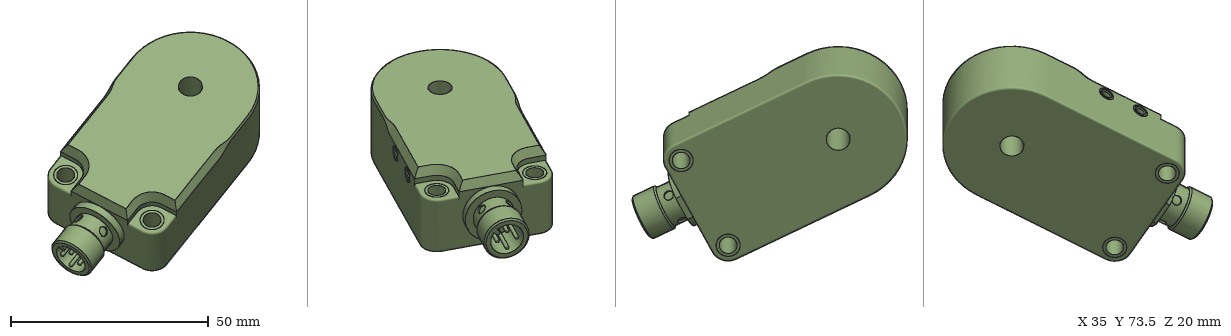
import cadquery as cq
import math

WIDTH = 35.0
HALF_WIDTH = WIDTH / 2
HEIGHT = 20.0
STRAIGHT_LENGTH = 42.5
CORNER_RADIUS = 4.5
BOTTOM_FILLET = 0.6
SENSING_HOLE_DIAMETER = 6.0

BEVEL_ANGLE = 30
BEVEL_SLOPE = math.tan(math.radians(BEVEL_ANGLE))
SHALLOW_BEVEL_HEIGHT = 0.65
DEEP_BEVEL_HEIGHT = 2.4
BEVEL_STEP_START_Y = -7.5
BEVEL_STEP_LENGTH = 6.2

POCKET_DEPTH = 4.0
POCKET_FILLET = 0.6
POCKET_FLOOR_Z = HEIGHT - POCKET_DEPTH
MOUNT_X = HALF_WIDTH - CORNER_RADIUS
MOUNT_Y = CORNER_RADIUS - STRAIGHT_LENGTH
SLEEVE_BORE = 4.5
SLEEVE_DIAMETER = 6.0
SLEEVE_SEAT_DIAMETER = 6.1

ADJUSTER_Y = (-17.5, -27.5)
ADJUSTER_Z = 14.9
ADJUSTER_HOLE_DIAMETER = 2.4
ADJUSTER_HOLE_DEPTH = 2.95
ADJUSTER_COUNTERSINK = 0.3
COUNTERSINK_TAPER = 45
RING_INNER_DIAMETER = 4.0
RING_OUTER_DIAMETER = 4.05
RING_DEPTH = 0.2

CONNECTOR_Z = HEIGHT / 2
FLANGE_DIAMETER = 15.0
FLANGE_LENGTH = 2.05
FLANGE_FLAT_DROP = 6.75
NECK_DIAMETER = 10.8
NECK_CORE_DIAMETER = 9.8
NECK_END = 6.55
BARREL_DIAMETER = 12.0
BARREL_CHAMFER = 0.45
CONNECTOR_LENGTH = 13.3
NECK_HOLE_DIAMETER = 2.5
NECK_HOLE_PLACE = 3.8
NECK_HOLE_ANGLES = (45, 135, 225, 315)
BORE_DIAMETER = 8.7
BORE_DEPTH = 8.8
KEY_WIDTH = 1.2
KEY_CENTRE_RADIUS = 3.45
KEY_ANGLE = 135
PIN_COUNT = 4
PIN_DIAMETER = 1.0
PIN_CIRCLE_RADIUS = 2.6
PIN_TIP_FILLET = 0.2
PIN_END = 13.5

CLEARANCE = 3.7


def housing_outline(z):
    """Closed outline of the housing at height z."""
    return (
        cq.Workplane("XY", origin=(0, 0, z))
        .moveTo(HALF_WIDTH, 0)
        .threePointArc((0, HALF_WIDTH), (-HALF_WIDTH, 0))
        .lineTo(-HALF_WIDTH, MOUNT_Y)
        .radiusArc((-MOUNT_X, -STRAIGHT_LENGTH), -CORNER_RADIUS)
        .lineTo(MOUNT_X, -STRAIGHT_LENGTH)
        .radiusArc((HALF_WIDTH, MOUNT_Y), -CORNER_RADIUS)
        .close()
    )


def slab():
    """Housing block with the shallow bevel above and a rounded bottom edge."""
    shallow_z = HEIGHT - SHALLOW_BEVEL_HEIGHT
    body = housing_outline(0).extrude(shallow_z).faces("<Z").edges().fillet(BOTTOM_FILLET)
    return body.union(housing_outline(shallow_z).extrude(SHALLOW_BEVEL_HEIGHT, taper=BEVEL_ANGLE))


def side_bevel():
    """Cutter for the deep bevel of the -X side, rising to the shallow one in an S of two arcs."""
    rise = DEEP_BEVEL_HEIGHT - SHALLOW_BEVEL_HEIGHT
    high_z = HEIGHT - SHALLOW_BEVEL_HEIGHT
    deep_z = HEIGHT - DEEP_BEVEL_HEIGHT
    above_z = HEIGHT + CLEARANCE
    end_y = -STRAIGHT_LENGTH - CLEARANCE
    half_length = BEVEL_STEP_LENGTH / 2
    middle_y = BEVEL_STEP_START_Y - half_length
    deep_start_y = BEVEL_STEP_START_Y - BEVEL_STEP_LENGTH
    arc_radius = (half_length**2 + (rise / 2) ** 2) / rise
    profile = (
        cq.Workplane("YZ", origin=(-HALF_WIDTH, 0, 0))
        .moveTo(BEVEL_STEP_START_Y, above_z)
        .lineTo(BEVEL_STEP_START_Y, high_z)
        .radiusArc((middle_y, high_z - rise / 2), -arc_radius)
        .radiusArc((deep_start_y, deep_z), arc_radius)
        .lineTo(end_y, deep_z)
        .lineTo(end_y, above_z)
        .close()
    )
    along_slope = cq.Vector(CLEARANCE * BEVEL_SLOPE, 0, CLEARANCE)
    return cq.Workplane(cq.Solid.extrudeLinear(profile.val(), [], along_slope))


def end_bevel():
    """Cutter for the deep bevel along the connector end."""
    deep_z = HEIGHT - DEEP_BEVEL_HEIGHT
    return (
        cq.Workplane("YZ")
        .moveTo(-STRAIGHT_LENGTH, deep_z)
        .lineTo(-STRAIGHT_LENGTH + DEEP_BEVEL_HEIGHT * BEVEL_SLOPE, HEIGHT)
        .lineTo(-STRAIGHT_LENGTH, HEIGHT)
        .close()
        .extrude(HALF_WIDTH, both=True)
    )


def corner_pocket():
    """Cutter for the pocket over the -X mounting hole, flaring in the deep bevel."""
    inner_x = -MOUNT_X + CORNER_RADIUS
    inner_y = MOUNT_Y + CORNER_RADIUS
    outer_x = -HALF_WIDTH - CLEARANCE
    outer_y = -STRAIGHT_LENGTH - CLEARANCE

    def outline(z):
        return (
            cq.Workplane("XY", origin=(0, 0, z))
            .moveTo(outer_x, outer_y)
            .lineTo(inner_x, outer_y)
            .lineTo(inner_x, MOUNT_Y)
            .radiusArc((-MOUNT_X, inner_y), -CORNER_RADIUS)
            .lineTo(outer_x, inner_y)
            .close()
        )

    wall = outline(POCKET_FLOOR_Z).extrude(POCKET_DEPTH)
    flare = outline(HEIGHT - DEEP_BEVEL_HEIGHT).extrude(DEEP_BEVEL_HEIGHT, taper=-BEVEL_ANGLE)
    return wall.union(flare)


def round_pocket_rims(body):
    """Round the outer edge of both pocket floors; each fillet runs on from the corner arc."""
    diagonal = CORNER_RADIUS / math.sqrt(2)
    for side in (-1, 1):
        arc_middle = (side * (MOUNT_X + diagonal), MOUNT_Y - diagonal, POCKET_FLOOR_Z)
        body = body.edges(cq.selectors.NearestToPointSelector(arc_middle)).fillet(POCKET_FILLET)
    return body


def adjuster(y):
    """Cutter for one adjuster: countersunk hole and ring groove."""
    face = cq.Workplane("YZ", origin=(-HALF_WIDTH, y, ADJUSTER_Z))
    hole = face.circle(ADJUSTER_HOLE_DIAMETER / 2).extrude(ADJUSTER_HOLE_DEPTH)
    countersink = face.circle(ADJUSTER_HOLE_DIAMETER / 2 + ADJUSTER_COUNTERSINK).extrude(
        ADJUSTER_COUNTERSINK, taper=COUNTERSINK_TAPER
    )
    ring = face.circle(RING_OUTER_DIAMETER / 2).circle(RING_INNER_DIAMETER / 2).extrude(RING_DEPTH)
    return hole.union(countersink).union(ring)


def connector_plane(distance):
    """Plane across the connector axis, facing outward (-Y), at a distance from the end face."""
    return cq.Workplane("XZ", origin=(0, -STRAIGHT_LENGTH - distance, CONNECTOR_Z))


def connector_flange():
    """Round flange with a flat along its lower side."""
    disc = connector_plane(0).circle(FLANGE_DIAMETER / 2).extrude(FLANGE_LENGTH)
    below = (
        connector_plane(0)
        .center(0, -FLANGE_FLAT_DROP - CLEARANCE / 2)
        .rect(FLANGE_DIAMETER, CLEARANCE)
        .extrude(FLANGE_LENGTH)
    )
    return disc.cut(below)


def neck_holes():
    """Cutter for the shallow radial holes that end on the core of the neck."""
    holes = cq.Workplane()
    for angle in NECK_HOLE_ANGLES:
        hole = (
            connector_plane(NECK_HOLE_PLACE)
            .transformed(rotate=(0, 0, angle))
            .transformed(rotate=(0, 90, 0))
            .circle(NECK_HOLE_DIAMETER / 2)
            .extrude(NECK_DIAMETER)
        )
        holes = holes.add(hole)
    core = connector_plane(0).circle(NECK_CORE_DIAMETER / 2).extrude(CONNECTOR_LENGTH)
    return holes.combine().cut(core)


def connector_shell():
    """Neck and chamfered barrel with a keyed bore."""
    neck = connector_plane(0).circle(NECK_DIAMETER / 2).extrude(NECK_END).cut(neck_holes())
    barrel = (
        connector_plane(NECK_END)
        .circle(BARREL_DIAMETER / 2)
        .extrude(CONNECTOR_LENGTH - NECK_END)
        .edges()
        .chamfer(BARREL_CHAMFER)
    )
    bore_start = connector_plane(CONNECTOR_LENGTH - BORE_DEPTH)
    bore = bore_start.circle(BORE_DIAMETER / 2).extrude(BORE_DEPTH)
    key_length = BORE_DIAMETER / 2 - KEY_CENTRE_RADIUS
    key = (
        bore_start.transformed(rotate=(0, 0, KEY_ANGLE))
        .center(KEY_CENTRE_RADIUS + key_length, 0)
        .slot2D(2 * key_length + KEY_WIDTH, KEY_WIDTH)
        .extrude(BORE_DEPTH)
    )
    return neck.union(barrel).cut(bore.cut(key))


def connector_pins():
    """Pins standing on the bore floor, with rounded tips."""
    bore_floor = CONNECTOR_LENGTH - BORE_DEPTH
    return (
        connector_plane(bore_floor)
        .polarArray(PIN_CIRCLE_RADIUS, 0, 360, PIN_COUNT)
        .circle(PIN_DIAMETER / 2)
        .extrude(PIN_END - bore_floor)
        .faces("<Y")
        .edges()
        .fillet(PIN_TIP_FILLET)
    )


def make_housing():
    """Housing and connector as one solid, with seats for the two sleeves."""
    body = slab().cut(end_bevel())
    for cutter in (side_bevel(), corner_pocket()):
        body = body.cut(cutter).cut(cutter.mirror("YZ"))
    body = round_pocket_rims(body)
    seats = (
        cq.Workplane("XY")
        .pushPoints([(-MOUNT_X, MOUNT_Y), (MOUNT_X, MOUNT_Y)])
        .circle(SLEEVE_SEAT_DIAMETER / 2)
        .extrude(HEIGHT)
    )
    sensing_hole = cq.Workplane("XY").circle(SENSING_HOLE_DIAMETER / 2).extrude(HEIGHT)
    body = body.cut(seats).cut(sensing_hole)
    for y in ADJUSTER_Y:
        body = body.cut(adjuster(y))
    return body.union(connector_flange()).union(connector_shell()).union(connector_pins())


def make_sleeve(x):
    """Mounting sleeve standing in its seat, from the bottom to the pocket floor."""
    return (
        cq.Workplane("XY", origin=(x, MOUNT_Y, 0))
        .circle(SLEEVE_DIAMETER / 2)
        .circle(SLEEVE_BORE / 2)
        .extrude(POCKET_FLOOR_Z)
    )


housing = make_housing()
sleeves = []
for sleeve_x in (-MOUNT_X, MOUNT_X):
    sleeves.append(make_sleeve(sleeve_x).val())

result = cq.Compound.makeCompound([housing.val(), *sleeves])